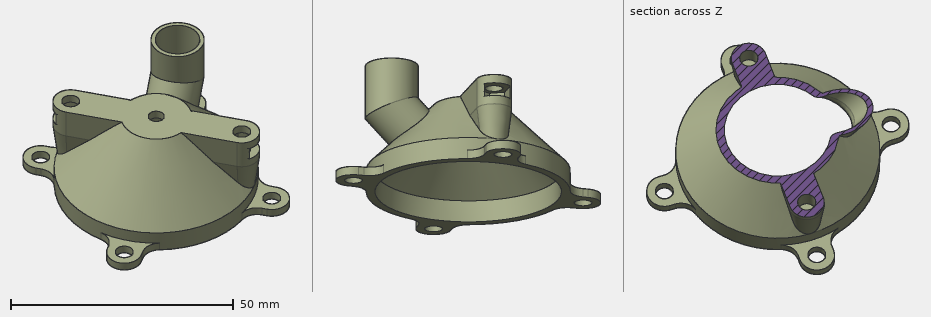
import cadquery as cq
import math

SKIRT_RADIUS = 23.0
SKIRT_HEIGHT = 5.0
DOME_HEIGHT = 20.0
DOME_TOP_RADIUS = SKIRT_RADIUS - (DOME_HEIGHT - SKIRT_HEIGHT)
WALL = 2.0
CAVITY_RADIUS = SKIRT_RADIUS - WALL
CAVITY_HEIGHT = DOME_HEIGHT - WALL
CAVITY_TOP_RADIUS = CAVITY_RADIUS - (CAVITY_HEIGHT - SKIRT_HEIGHT)
CENTRE_HOLE_DIAMETER = 3.6

EAR_COUNT = 4
EAR_PITCH_RADIUS = 27.0
EAR_RADIUS = 4.0
EAR_HOLE_DIAMETER = 4.0
EAR_THICKNESS = 2.0
EAR_FILLET_RADIUS = 4.0

ARM_REACH = 20.0
ARM_WIDTH = 8.0
ARM_STRAIGHT_BOTTOM = 13.0
ARM_FOOT_INSET = ARM_REACH + ARM_WIDTH / 2 - SKIRT_RADIUS
ARM_TAPER_HEIGHT = ARM_STRAIGHT_BOTTOM - SKIRT_HEIGHT
ARM_TAPER_ANGLE = math.degrees(math.atan(ARM_FOOT_INSET / ARM_TAPER_HEIGHT))
ARM_HOLE_DIAMETER = 4.0
ARM_HOLE_DEPTH = 10.0
NUT_CORNER_DIAMETER = 7.0
NUT_FLATS = NUT_CORNER_DIAMETER * math.cos(math.pi / 6)
NUT_SLOT_BOTTOM = 15.0
NUT_SLOT_HEIGHT = 3.0

PIPE_OUTER_RADIUS = 6.0
PIPE_BORE_RADIUS = 5.0
PIPE_Y = 18.0
PIPE_BEND_Z = 18.0
PIPE_TOP = 28.0
PIPE_LEG_LENGTH = 9.0
INLET_FILLET_RADIUS = 2.0


def dome_solid(radius, top_radius, height):
    """Cylinder up to the skirt height, then a cone up to the given height."""
    return (
        cq.Workplane("XZ")
        .lineTo(radius, 0)
        .lineTo(radius, SKIRT_HEIGHT)
        .lineTo(top_radius, height)
        .lineTo(0, height)
        .close()
        .revolve(360, (0, 0), (0, 1))
    )


def ear():
    """Rounded ear on +X, blended into the skirt by concave arcs on both sides."""
    blend_y = EAR_RADIUS + EAR_FILLET_RADIUS
    blend_distance = SKIRT_RADIUS + EAR_FILLET_RADIUS
    blend_x = math.sqrt(blend_distance**2 - blend_y**2)
    foot_x = blend_x * SKIRT_RADIUS / blend_distance
    foot_y = blend_y * SKIRT_RADIUS / blend_distance
    half_sweep = math.atan2(blend_x, blend_y) / 2
    mid_x = blend_x - EAR_FILLET_RADIUS * math.sin(half_sweep)
    mid_y = blend_y - EAR_FILLET_RADIUS * math.cos(half_sweep)
    return (
        cq.Workplane("XY")
        .moveTo(foot_x, -foot_y)
        .threePointArc((mid_x, -mid_y), (blend_x, -EAR_RADIUS))
        .lineTo(EAR_PITCH_RADIUS, -EAR_RADIUS)
        .threePointArc((EAR_PITCH_RADIUS + EAR_RADIUS, 0), (EAR_PITCH_RADIUS, EAR_RADIUS))
        .lineTo(blend_x, EAR_RADIUS)
        .threePointArc((mid_x, mid_y), (foot_x, foot_y))
        .lineTo(CAVITY_RADIUS, 0)
        .close()
        .extrude(EAR_THICKNESS)
        .faces("<Z")
        .workplane(origin=(EAR_PITCH_RADIUS, 0, 0))
        .hole(EAR_HOLE_DIAMETER)
    )


def arms():
    """Bar across the dome: straight upper part, tapered lower part."""
    bar = cq.Workplane("XY").workplane(offset=ARM_STRAIGHT_BOTTOM)
    length = 2 * ARM_REACH + ARM_WIDTH
    upper = bar.slot2D(length, ARM_WIDTH).extrude(DOME_HEIGHT - ARM_STRAIGHT_BOTTOM)
    lower = bar.slot2D(length, ARM_WIDTH).extrude(-ARM_TAPER_HEIGHT, taper=ARM_TAPER_ANGLE)
    return upper.union(lower)


def nut_fixing(side):
    """Screw hole and nut slot, open at the arm end, on the +X or -X side."""
    centre_x = side * ARM_REACH
    hole = (
        cq.Workplane("XY")
        .workplane(offset=DOME_HEIGHT)
        .center(centre_x, 0)
        .circle(ARM_HOLE_DIAMETER / 2)
        .extrude(-ARM_HOLE_DEPTH)
    )
    slot_plane = cq.Workplane("XY").workplane(offset=NUT_SLOT_BOTTOM)
    nut = slot_plane.center(centre_x, 0).polygon(6, NUT_CORNER_DIAMETER).extrude(NUT_SLOT_HEIGHT)
    entry = (
        slot_plane.center(centre_x + side * ARM_WIDTH / 4, 0)
        .rect(ARM_WIDTH / 2, NUT_FLATS)
        .extrude(NUT_SLOT_HEIGHT)
    )
    return hole.union(nut).union(entry)


def elbow(radius):
    """Round bar swept along the spout and the slanted leg with a mitred corner."""
    leg_shift = PIPE_LEG_LENGTH * math.sqrt(0.5)
    path = (
        cq.Workplane("YZ")
        .moveTo(PIPE_Y, PIPE_TOP)
        .lineTo(PIPE_Y, PIPE_BEND_Z)
        .lineTo(PIPE_Y - leg_shift, PIPE_BEND_Z - leg_shift)
    )
    return (
        cq.Workplane("XY", origin=(0, PIPE_Y, PIPE_TOP))
        .circle(radius)
        .sweep(path, transition="right")
    )


def round_inlet(body):
    """Round the edge where the slanted bore opens into the cavity."""
    mouth_y = (CAVITY_RADIUS + SKIRT_HEIGHT + PIPE_Y - PIPE_BEND_Z) / 2
    mouth_z = mouth_y - PIPE_Y + PIPE_BEND_Z
    inlet_edge = cq.selectors.NearestToPointSelector((0, mouth_y, mouth_z))
    return body.edges(inlet_edge).fillet(INLET_FILLET_RADIUS)


cavity = dome_solid(CAVITY_RADIUS, CAVITY_TOP_RADIUS, CAVITY_HEIGHT)
result = dome_solid(SKIRT_RADIUS, DOME_TOP_RADIUS, DOME_HEIGHT)
result = result.union(arms()).union(elbow(PIPE_OUTER_RADIUS))
result = result.cut(cavity).cut(elbow(PIPE_BORE_RADIUS))
result = round_inlet(result)

for index in range(EAR_COUNT):
    result = result.union(ear().rotate((0, 0, 0), (0, 0, 1), index * 360 / EAR_COUNT))

for side in (-1, 1):
    result = result.cut(nut_fixing(side))
centre_hole = cq.Workplane("XY").circle(CENTRE_HOLE_DIAMETER / 2).extrude(DOME_HEIGHT)
result = result.cut(centre_hole)